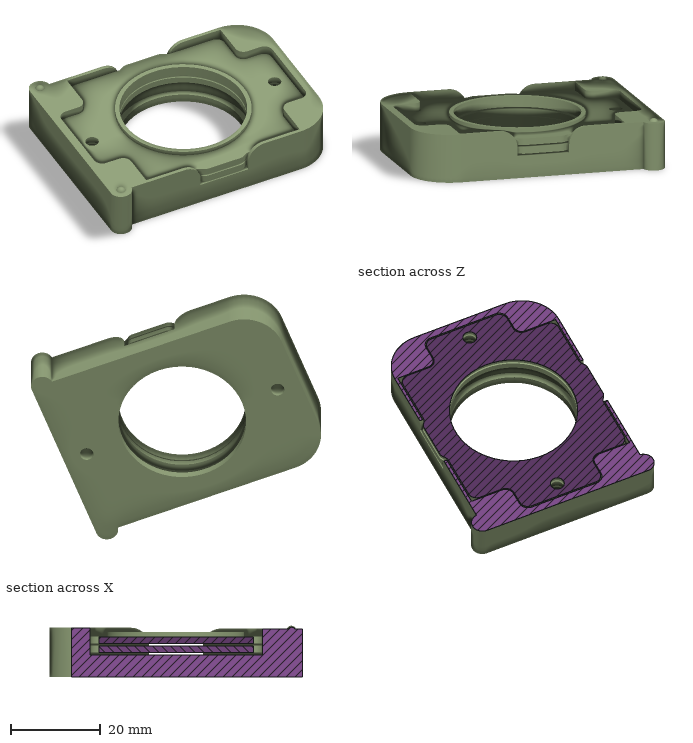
import cadquery as cq
import math

housing_width = 40.4
housing_rear_y = 28.2
housing_front_y = -28.25
housing_length = housing_rear_y - housing_front_y
rear_height = 11.0
front_height = 10.8
rear_corner_radius = 9.0
lobe_span = 44.6
lobe_length = 5.0
lobe_radius = 2.45
lobe_x = lobe_span / 2 - lobe_radius
lobe_y = housing_front_y + lobe_length / 2
overall_height = 11.45
bump_radius = 1.0
bump_height = overall_height - front_height

floor_height = 5.0
pocket_width = 38.8
pocket_length = 38.4
neck_width = 20.0
neck_length = 52.8
neck_radius = 2.0

window_width = 12.0
scoop_radius = 4.0

bore_diameter = 28.5
counterbore_diameter = 31.0
counterbore_floor = 2.0

outer_clearance = 0.2
inner_clearance = 0.1
plate_width = pocket_width - 2 * outer_clearance
plate_length = pocket_length - 2 * inner_clearance
plate_neck_width = neck_width - 2 * inner_clearance
plate_neck_length = neck_length - 2 * outer_clearance
plate_thickness = 1.5
plate_gap = 0.5
plate_corner_radius = 2.0
tab_width = housing_width
tab_flat_length = 8.0
tab_blend_radius = 2.0
screw_hole_diameter = 3.0
screw_hole_y = 22.85
collar_diameter = 30.5
collar_height = 1.0
lower_plate_bottom = floor_height + plate_gap
upper_plate_bottom = lower_plate_bottom + plate_thickness + plate_gap


def upright_box(width, length, height):
    """Box centred on the Z axis, standing on Z = 0."""
    return cq.Workplane("XY").box(width, length, height, centered=(True, True, False))


def upright_cylinder(diameter, bottom, height):
    """Cylinder on the Z axis."""
    return cq.Workplane("XY").workplane(offset=bottom).circle(diameter / 2).extrude(height)


def cross(wide_width, wide_length, narrow_width, narrow_length, wide_corner_radius, height):
    """Wide block with a neck at each Y end; the neck corners and inside corners are rounded."""
    wide = upright_box(wide_width, wide_length, height)
    if wide_corner_radius:
        wide = wide.edges("|Z").fillet(wide_corner_radius)
    neck = upright_box(narrow_width, narrow_length, height).edges("|Z").fillet(neck_radius)
    margin = 0.1
    half_width = narrow_width / 2 + margin
    half_length = wide_length / 2 + margin
    inside_corners = cq.selectors.BoxSelector(
        (-half_width, -half_length, -margin),
        (half_width, half_length, height + margin),
    )
    return wide.union(neck).edges("|Z").edges(inside_corners).fillet(neck_radius)


def housing_block():
    """Outer block: rounded rear corners, a lower front half and hinge lobes."""
    block = upright_box(housing_width, housing_length, rear_height)
    block = block.edges("|Z and >Y").fillet(rear_corner_radius)
    block = block.translate((0, (housing_rear_y + housing_front_y) / 2, 0))
    lobes = upright_box(lobe_span, lobe_length, front_height).edges("|Z").fillet(lobe_radius)
    lobes = lobes.translate((0, lobe_y, 0))
    front_corner_trim = (
        upright_box(housing_width, lobe_length / 2, rear_height)
        .translate((0, lobe_y - lobe_length / 4, 0))
    )
    block = block.cut(front_corner_trim).union(lobes)
    front_top = (
        upright_box(lobe_span, housing_length, rear_height)
        .translate((0, -housing_length / 2, front_height))
    )
    return block.cut(front_top)


def side_window(edge_height, side):
    """Half of the window (side +1 or -1 in Y), flaring to the top edge with a convex arc."""
    half = window_width / 2
    arc_start_z = edge_height - scoop_radius
    arc_mid = scoop_radius * math.sin(math.radians(45))
    return (
        cq.Workplane("YZ")
        .moveTo(0, floor_height)
        .lineTo(side * half, floor_height)
        .lineTo(side * half, arc_start_z)
        .threePointArc(
            (side * (half + scoop_radius - arc_mid), arc_start_z + arc_mid),
            (side * (half + scoop_radius), edge_height),
        )
        .lineTo(side * (half + scoop_radius), overall_height)
        .lineTo(0, overall_height)
        .close()
        .extrude(housing_width, both=True)
    )


def hinge_bump(x):
    """Spherical cap on top of a hinge lobe."""
    sphere_radius = (bump_radius ** 2 + bump_height ** 2) / (2 * bump_height)
    half_angle = math.asin(bump_radius / sphere_radius) / 2
    middle = (
        sphere_radius * math.sin(half_angle),
        overall_height - sphere_radius * (1 - math.cos(half_angle)),
    )
    return (
        cq.Workplane("XZ", origin=(x, lobe_y, 0))
        .moveTo(0, front_height)
        .lineTo(bump_radius, front_height)
        .threePointArc(middle, (0, overall_height))
        .close()
        .revolve(360, (0, 0, 0), (0, 1, 0))
    )


def screw_holes():
    """Tools for the two screw holes on the Y axis."""
    return (
        cq.Workplane("XY")
        .pushPoints([(0, screw_hole_y), (0, -screw_hole_y)])
        .circle(screw_hole_diameter / 2)
        .extrude(rear_height)
    )


def make_housing():
    """Tray with its pocket, windows, bores and hinge bumps."""
    body = housing_block()
    pocket = cross(pocket_width, pocket_length, neck_width, neck_length, 0, rear_height)
    body = body.cut(pocket.translate((0, 0, floor_height)))
    body = body.cut(side_window(rear_height, 1)).cut(side_window(front_height, -1))
    body = body.cut(upright_cylinder(bore_diameter, 0, rear_height))
    body = body.cut(upright_cylinder(counterbore_diameter, counterbore_floor, rear_height))
    body = body.cut(screw_holes())
    for x in (-lobe_x, lobe_x):
        body = body.union(hinge_bump(x))
    return body


def side_tabs():
    """Bar across the plate whose tabs flare into the plate sides by pairs of opposed arcs."""
    step = (tab_width - plate_width) / 2
    arc_angle = math.acos(1 - step / (2 * tab_blend_radius))
    arc_run = tab_blend_radius * math.sin(arc_angle)
    half_run = tab_blend_radius * math.sin(arc_angle / 2)
    half_drop = tab_blend_radius * (1 - math.cos(arc_angle / 2))
    tip = tab_width / 2
    root = plate_width / 2
    flat = tab_flat_length / 2
    base = flat + 2 * arc_run
    middle = (tip - step / 2, flat + arc_run)
    quarter = (
        cq.Workplane("XY")
        .lineTo(tip, 0)
        .lineTo(tip, flat)
        .threePointArc((tip - half_drop, flat + half_run), middle)
        .threePointArc((root + half_drop, base - half_run), (root, base))
        .lineTo(0, base)
        .close()
        .extrude(plate_thickness)
    )
    half = quarter.union(quarter.mirror("XZ"))
    return half.union(half.mirror("YZ"))


def plate_blank():
    """Cross-shaped plate, loose in the pocket, with a tab reaching into each side window."""
    blank = cross(
        plate_width, plate_length, plate_neck_width, plate_neck_length,
        plate_corner_radius, plate_thickness,
    )
    return blank.union(side_tabs())


def make_plate(bottom, collar):
    """Plate with its bore and screw holes, its underside at height bottom, optionally collared."""
    plate = plate_blank()
    if collar:
        plate = plate.union(upright_cylinder(collar_diameter, 0, plate_thickness + collar_height))
    plate = plate.cut(upright_cylinder(bore_diameter, 0, rear_height))
    return plate.cut(screw_holes()).translate((0, 0, bottom))


housing = make_housing()
lower_plate = make_plate(lower_plate_bottom, False)
upper_plate = make_plate(upper_plate_bottom, True)

result = cq.Compound.makeCompound([housing.val(), lower_plate.val(), upper_plate.val()])